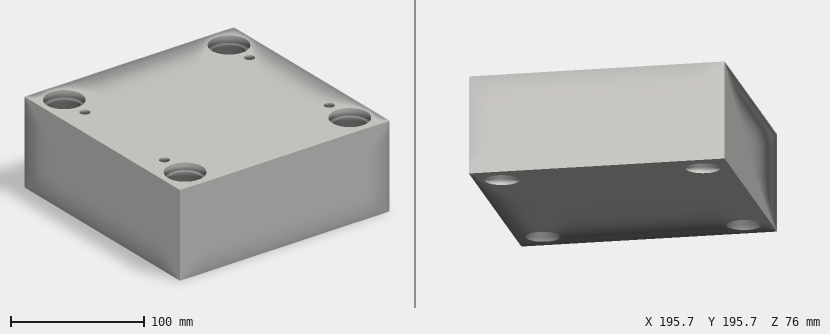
import cadquery as cq
import math

side = 195.7
height = 76.0

bore_diameter = 26.0
counterbore_diameter = 32.0
counterbore_depth = 6.0
bore_spacing_x = 151.9

drill_diameter = 8.5
drill_depth = 19.5
drill_point_angle = 118.0
drill_spacing_x = 100.0

row_spacing_y = 153.8


def make_block():
    """Square block standing on the XY plane, centred on the Z axis."""
    return cq.Workplane("XY").box(side, side, height, centered=(True, True, False))


def hole_centres(block, spacing_x):
    """Four hole positions on the top face, symmetric about both axes."""
    top = block.faces(">Z").workplane(origin=(0, 0, height))
    return top.rect(spacing_x, row_spacing_y, forConstruction=True).vertices()


def cut_bores(block):
    return hole_centres(block, bore_spacing_x).cboreHole(
        bore_diameter, counterbore_diameter, counterbore_depth
    )


def cut_drilled_holes(block):
    """Blind holes whose conical drill points lie below the full-diameter depth."""
    radius = drill_diameter / 2
    point_length = radius / math.tan(math.radians(drill_point_angle / 2))
    drill = (
        cq.Workplane("XZ")
        .moveTo(0, 0)
        .lineTo(radius, 0)
        .lineTo(radius, -drill_depth)
        .lineTo(0, -drill_depth - point_length)
        .close()
        .revolve(360, (0, 0, 0), (0, 1, 0))
        .val()
    )
    drills = hole_centres(block, drill_spacing_x).eachpoint(drill, combine=False)
    return block.cut(drills)


result = cut_drilled_holes(cut_bores(make_block()))